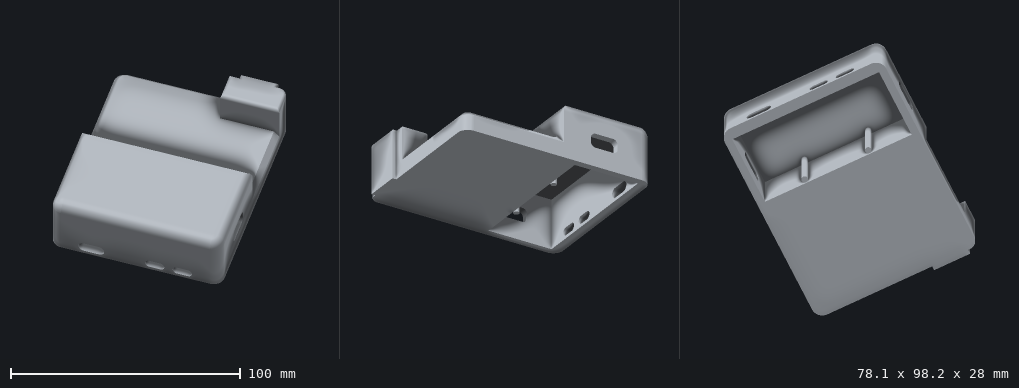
import cadquery as cq

width = 78.1
length = 98.2
height = 28.0
edge_radius = 5.0

housing_length = 45.0
side_wall = 3.5
front_wall = 5.0
cavity_back = 37.3

deck_back = 96.2
deck_height = 10.0
bevel = 2.5

tower_left = 51.1
tower_front = 83.0
tower_height = 25.0
tower_corner_radius = 4.1
tower_edge_radius = 2.0
lip_left = 55.8
lip_right = 73.0

power_center_y = 24.3
power_bottom = 9.3
power_size = (13.7, 6.9)
power_corner_radius = 2.5
port_bottom = 1.5
hdmi_center_x = 18.8
hdmi_size = (11.8, 4.9)
usb_centers_x = (47.8, 60.5)
usb_size = (8.8, 3.9)

post_diameter = 2.8
post_spacing = 30.8
post_y = 35.5


def make_housing():
    """Block with rounded front corners and rounded top edges."""
    block = cq.Workplane("XY").box(width, housing_length, height, centered=False)
    block = block.edges("|Z and <Y").fillet(edge_radius)
    return block.faces(">Z").edges().fillet(edge_radius)


def make_deck():
    """Low plate with rounded back corners and a bevelled rim."""
    deck_length = deck_back - housing_length
    plate = (
        cq.Workplane("XY", origin=(0, housing_length, 0))
        .box(width, deck_length, deck_height, centered=False)
        .edges("|Z and >Y")
        .fillet(edge_radius)
    )
    return plate.faces(">Z").edges("not(<Y)").chamfer(bevel)


def make_blend():
    """Concave strip from deck to housing, its ends cut off by the rim bevel."""
    blend_top = deck_height + edge_radius
    rim_bottom = deck_height - bevel
    end_inset = blend_top - rim_bottom
    strip = (
        cq.Workplane("YZ")
        .moveTo(housing_length, rim_bottom)
        .lineTo(housing_length + edge_radius, rim_bottom)
        .lineTo(housing_length + edge_radius, deck_height)
        .radiusArc((housing_length, blend_top), edge_radius)
        .close()
        .extrude(width)
    )
    bevelled_section = (
        cq.Workplane("XZ")
        .polyline([
            (0, rim_bottom),
            (width, rim_bottom),
            (width - end_inset, blend_top),
            (end_inset, blend_top),
        ])
        .close()
        .extrude(-length)
    )
    return strip.intersect(bevelled_section)


def make_tower():
    """Connector tower with a lip at the back and rounded top edges."""
    body = (
        cq.Workplane("XY")
        .moveTo(tower_left, tower_front)
        .lineTo(width, tower_front)
        .lineTo(width, deck_back - tower_corner_radius)
        .radiusArc((width - tower_corner_radius, deck_back), -tower_corner_radius)
        .lineTo(lip_right, deck_back)
        .lineTo(lip_right, length)
        .lineTo(lip_left, length)
        .lineTo(lip_left, deck_back)
        .lineTo(tower_left, deck_back)
        .close()
        .extrude(tower_height)
    )
    return body.faces(">Z").edges().fillet(tower_edge_radius)


def make_cavity():
    """Space under the housing roof, open at the bottom, around two round posts."""
    cavity_height = height - side_wall
    space = cq.Workplane("XY", origin=(side_wall, front_wall, 0)).box(
        width - 2 * side_wall, cavity_back - front_wall, cavity_height, centered=False
    )
    posts = (
        cq.Workplane("XY", origin=(width / 2, post_y, 0))
        .pushPoints([(-post_spacing / 2, 0), (post_spacing / 2, 0)])
        .circle(post_diameter / 2)
        .extrude(cavity_height)
    )
    return space.cut(posts)


def make_port(center_x, size):
    """Round-ended opening through the front wall."""
    port_width, port_height = size
    return (
        cq.Workplane("XZ", origin=(center_x, 0, port_bottom + port_height / 2))
        .slot2D(port_width, port_height)
        .extrude(-front_wall)
    )


def make_power_opening():
    """Rounded rectangular opening through both side walls."""
    opening_length, opening_height = power_size
    return (
        cq.Workplane("XY", origin=(width / 2, power_center_y, power_bottom + opening_height / 2))
        .box(width, opening_length, opening_height)
        .edges("|X")
        .fillet(power_corner_radius)
    )


result = make_housing().union(make_deck()).union(make_blend()).union(make_tower())
result = result.cut(make_cavity()).cut(make_power_opening())
result = result.cut(make_port(hdmi_center_x, hdmi_size))
for usb_center_x in usb_centers_x:
    result = result.cut(make_port(usb_center_x, usb_size))